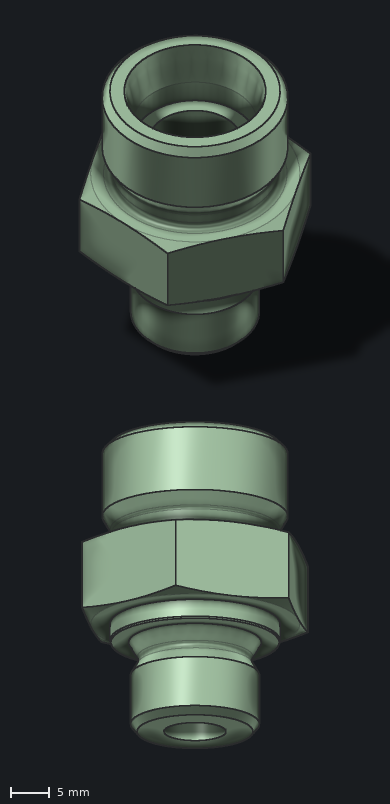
import cadquery as cq
import math

TOTAL_HEIGHT = 38.5
STUB_THREAD_TOP = 7.6
COLLAR_BOTTOM = 12.0
HEX_BOTTOM = 14.5
HEX_TOP = 24.5
TUBE_THREAD_BOTTOM = 29.03

TUBE_THREAD_DIAMETER = 24.0
TUBE_NECK_DIAMETER = 21.7
COLLAR_DIAMETER = 22.0
STUB_THREAD_DIAMETER = 16.67
STUB_GROOVE_DIAMETER = 14.65
HEX_ACROSS_FLATS = 27.03

TUBE_END_CHAMFER = 1.0
STUB_CHAMFER_WIDTH = 0.85
STUB_CHAMFER_HEIGHT = 1.0
COLLAR_CHAMFER_WIDTH = 0.1
COLLAR_CHAMFER_HEIGHT = 0.25
UNDERCUT_RADIUS = 1.0
UNDERCUT_ANGLE = math.radians(30)
HEX_CHAMFER_ANGLE = math.radians(15)

THROUGH_DIAMETER = 8.0
MIDDLE_BORE_DIAMETER = 12.0
MIDDLE_BORE_BOTTOM = 17.7
BORE_TRANSITION_ANGLE = math.radians(59)
TUBE_SOCKET_DIAMETER = 16.0
TUBE_SOCKET_DEPTH = 8.5
MOUTH_DIAMETER = 18.3
MOUTH_ANGLE = math.radians(12)

ARC_RISE = UNDERCUT_RADIUS * math.sin(UNDERCUT_ANGLE)
ARC_SPREAD = UNDERCUT_RADIUS * (1 - math.cos(UNDERCUT_ANGLE))
FLANK_SLOPE = math.tan(UNDERCUT_ANGLE)


def stub_profile():
    """Solid half-profile of the lower threaded stub, its groove and the collar."""
    thread_radius = STUB_THREAD_DIAMETER / 2
    groove_radius = STUB_GROOVE_DIAMETER / 2
    collar_radius = COLLAR_DIAMETER / 2
    flank_radius = groove_radius + ARC_SPREAD
    arc_bottom = STUB_THREAD_TOP + (thread_radius - flank_radius) / FLANK_SLOPE
    arc_middle = arc_bottom + ARC_RISE
    arc_top = arc_middle + ARC_RISE
    shoulder_radius = flank_radius + (COLLAR_BOTTOM - arc_top) * FLANK_SLOPE
    return (
        cq.Workplane("XZ")
        .lineTo(thread_radius - STUB_CHAMFER_WIDTH, 0)
        .lineTo(thread_radius, STUB_CHAMFER_HEIGHT)
        .lineTo(thread_radius, STUB_THREAD_TOP)
        .lineTo(flank_radius, arc_bottom)
        .threePointArc((groove_radius, arc_middle), (flank_radius, arc_top))
        .lineTo(shoulder_radius, COLLAR_BOTTOM)
        .lineTo(collar_radius - COLLAR_CHAMFER_WIDTH, COLLAR_BOTTOM)
        .lineTo(collar_radius, COLLAR_BOTTOM + COLLAR_CHAMFER_HEIGHT)
        .lineTo(collar_radius, HEX_BOTTOM)
        .lineTo(0, HEX_BOTTOM)
        .close()
    )


def tube_end_profile():
    """Solid half-profile of the neck and the upper threaded end."""
    thread_radius = TUBE_THREAD_DIAMETER / 2
    neck_radius = TUBE_NECK_DIAMETER / 2
    flank_radius = neck_radius + ARC_SPREAD
    flank_bottom = TUBE_THREAD_BOTTOM - (thread_radius - flank_radius) / FLANK_SLOPE
    diagonal = UNDERCUT_RADIUS * (1 - math.sqrt(0.5))
    half_angle = UNDERCUT_ANGLE / 2
    arc_start = flank_bottom - ARC_RISE
    arc_middle = (
        neck_radius + UNDERCUT_RADIUS * (1 - math.cos(half_angle)),
        arc_start + UNDERCUT_RADIUS * math.sin(half_angle),
    )
    return (
        cq.Workplane("XZ")
        .moveTo(0, HEX_TOP)
        .lineTo(neck_radius + UNDERCUT_RADIUS, HEX_TOP)
        .threePointArc(
            (neck_radius + diagonal, HEX_TOP + diagonal),
            (neck_radius, HEX_TOP + UNDERCUT_RADIUS),
        )
        .lineTo(neck_radius, arc_start)
        .threePointArc(arc_middle, (flank_radius, flank_bottom))
        .lineTo(thread_radius, TUBE_THREAD_BOTTOM)
        .lineTo(thread_radius, TOTAL_HEIGHT - TUBE_END_CHAMFER)
        .lineTo(thread_radius - TUBE_END_CHAMFER, TOTAL_HEIGHT)
        .lineTo(0, TOTAL_HEIGHT)
        .close()
    )


def passage_profile():
    """Half-profile of the space removed along the axis."""
    through_radius = THROUGH_DIAMETER / 2
    middle_radius = MIDDLE_BORE_DIAMETER / 2
    socket_radius = TUBE_SOCKET_DIAMETER / 2
    mouth_radius = MOUTH_DIAMETER / 2
    transition_height = (middle_radius - through_radius) / math.tan(BORE_TRANSITION_ANGLE)
    socket_floor = TOTAL_HEIGHT - TUBE_SOCKET_DEPTH
    mouth_bottom = TOTAL_HEIGHT - (mouth_radius - socket_radius) / math.tan(MOUTH_ANGLE)
    return (
        cq.Workplane("XZ")
        .lineTo(through_radius, 0)
        .lineTo(through_radius, MIDDLE_BORE_BOTTOM - transition_height)
        .lineTo(middle_radius, MIDDLE_BORE_BOTTOM)
        .lineTo(middle_radius, socket_floor)
        .lineTo(socket_radius, socket_floor)
        .lineTo(socket_radius, mouth_bottom)
        .lineTo(mouth_radius, TOTAL_HEIGHT)
        .lineTo(0, TOTAL_HEIGHT)
        .close()
    )


def revolve(profile):
    return profile.revolve(360, (0, 0), (0, 1))


def chamfered_hexagon():
    """Hexagon with flats facing -X and +X, its corners turned to a cone at both ends."""
    flat_radius = HEX_ACROSS_FLATS / 2
    corner_radius = flat_radius / math.cos(math.radians(30))
    corner_drop = (corner_radius - flat_radius) * math.tan(HEX_CHAMFER_ANGLE)
    prism = (
        cq.Workplane("XY", origin=(0, 0, HEX_BOTTOM))
        .transformed(rotate=(0, 0, 90))
        .polygon(6, 2 * corner_radius)
        .extrude(HEX_TOP - HEX_BOTTOM)
    )
    turned_blank = revolve(
        cq.Workplane("XZ")
        .moveTo(0, HEX_BOTTOM)
        .lineTo(flat_radius, HEX_BOTTOM)
        .lineTo(corner_radius, HEX_BOTTOM + corner_drop)
        .lineTo(corner_radius, HEX_TOP - corner_drop)
        .lineTo(flat_radius, HEX_TOP)
        .lineTo(0, HEX_TOP)
        .close()
    )
    return prism.intersect(turned_blank)


body = chamfered_hexagon().union(revolve(stub_profile())).union(revolve(tube_end_profile()))
result = body.cut(revolve(passage_profile()))